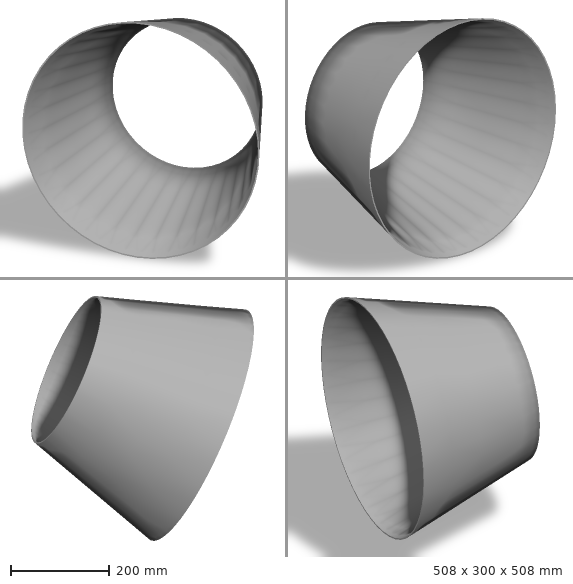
import cadquery as cq

wide_diameter = 508.0
narrow_diameter = 324.0
length = 300.0
wall = 3.0

wide_radius = wide_diameter / 2
narrow_radius = narrow_diameter / 2

wall_section = (
    cq.Workplane("XY")
    .moveTo(wide_radius - wall, 0)
    .lineTo(wide_radius, 0)
    .lineTo(narrow_radius, length)
    .lineTo(narrow_radius - wall, length)
    .close()
)

result = wall_section.revolve(360, (0, 0, 0), (0, 1, 0))